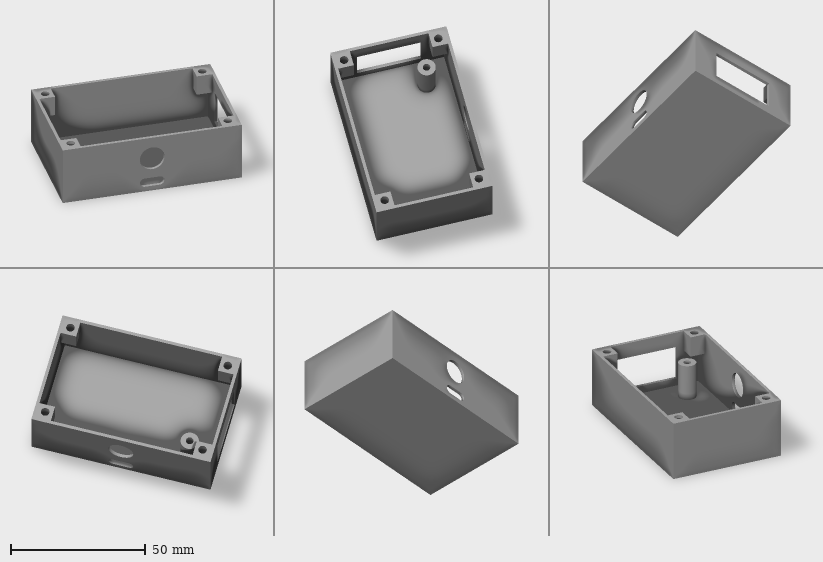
import cadquery as cq

length_x = 44.6
length_y = 68.98
height = 23.0
wall = 1.2
floor = 1.0

block_side = 7.2
block_height = 8.0
screw_hole_diameter = 3.2
screw_hole_inset = 4.2

post_x = 11.9
post_y = 23.69
post_top = 15.0
post_diameter = 6.8
post_hole_diameter = 2.8

window_width = 24.6
window_height = 13.0
window_bottom = 4.0

side_opening_y = 0.0
round_opening_diameter = 9.5
round_opening_z = 14.0
slot_length = 9.4
slot_height = 3.6
slot_z = 3.8


def make_shell():
    """Open-topped box with a flat floor."""
    outer = cq.Workplane("XY").box(length_x, length_y, height, centered=(True, True, False))
    cavity = (
        cq.Workplane("XY", origin=(0, 0, floor))
        .box(length_x - 2 * wall, length_y - 2 * wall, height - floor, centered=(True, True, False))
    )
    return outer.cut(cavity)


def add_corner_blocks(body):
    """Square block with a screw hole through it in each top corner."""
    block_base = cq.Workplane("XY", origin=(0, 0, height - block_height))
    blocks = (
        block_base
        .rect(length_x - block_side, length_y - block_side, forConstruction=True)
        .vertices()
        .rect(block_side, block_side)
        .extrude(block_height)
    )
    holes = (
        block_base
        .rect(length_x - 2 * screw_hole_inset, length_y - 2 * screw_hole_inset, forConstruction=True)
        .vertices()
        .circle(screw_hole_diameter / 2)
        .extrude(block_height)
    )
    return body.union(blocks).cut(holes)


def add_post(body):
    """Round post on the floor, bored down to the floor."""
    post = (
        cq.Workplane("XY", origin=(post_x, post_y, 0))
        .circle(post_diameter / 2)
        .extrude(post_top)
    )
    bore = (
        cq.Workplane("XY", origin=(post_x, post_y, floor))
        .circle(post_hole_diameter / 2)
        .extrude(post_top - floor)
    )
    return body.union(post).cut(bore)


def cut_window(body):
    """Rectangular window through the +Y wall."""
    window = (
        cq.Workplane("XY", origin=(0, length_y / 2 - wall / 2, window_bottom))
        .box(window_width, wall, window_height, centered=(True, True, False))
    )
    return body.cut(window)


def cut_side_openings(body):
    """Round opening and the slot below it, through the +X wall."""
    inner_face_x = length_x / 2 - wall
    round_opening = (
        cq.Workplane("YZ", origin=(inner_face_x, side_opening_y, round_opening_z))
        .circle(round_opening_diameter / 2)
        .extrude(wall)
    )
    slot = (
        cq.Workplane("YZ", origin=(inner_face_x, side_opening_y, slot_z))
        .slot2D(slot_length, slot_height)
        .extrude(wall)
    )
    return body.cut(round_opening).cut(slot)


result = make_shell()
result = add_corner_blocks(result)
result = add_post(result)
result = cut_window(result)
result = cut_side_openings(result)